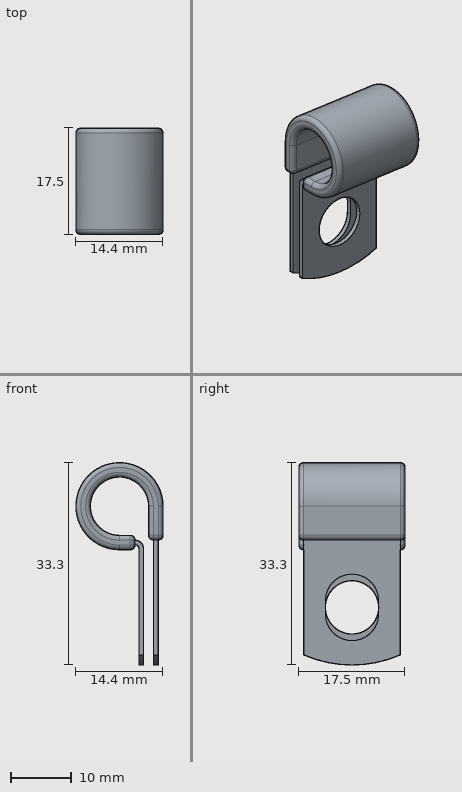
import cadquery as cq
import math

strap_thickness = 0.8
cushion_thickness = 0.8
edge_radius = 0.8
outer_diameter = 14.35
sleeve_width = 17.47
overall_height = 33.28

outer_radius = outer_diameter / 2
sleeve_thickness = strap_thickness + 2 * cushion_thickness
inner_radius = outer_radius - sleeve_thickness
strap_outer_radius = outer_radius - cushion_thickness
strap_inner_radius = strap_outer_radius - strap_thickness
strap_width = sleeve_width - 2 * cushion_thickness
leg_bottom = outer_radius - overall_height

side_length = 5.55
lower_length = 2.55

leg_gap = 1.6
bent_leg_outer = strap_inner_radius - leg_gap
bent_leg_inner = bent_leg_outer - strap_thickness
bend_outer_radius = 1.4
bend_inner_radius = bend_outer_radius - strap_thickness
bend_start = bent_leg_outer - bend_outer_radius
bend_centre_z = -strap_inner_radius - bend_outer_radius

tip_sag = 1.65
hole_diameter = 8.72
hole_height = 9.5
slot_centre_distance = 2.2


def make_sleeve():
    """Three-quarter loop with a downward side arm and a lower arm, all outer edges rounded."""
    outer_mid = outer_radius * math.sqrt(0.5)
    inner_mid = inner_radius * math.sqrt(0.5)
    sleeve = (
        cq.Workplane("XZ")
        .moveTo(outer_radius, -side_length)
        .lineTo(outer_radius, 0)
        .threePointArc((-outer_mid, outer_mid), (0, -outer_radius))
        .lineTo(lower_length, -outer_radius)
        .lineTo(lower_length, -inner_radius)
        .lineTo(0, -inner_radius)
        .threePointArc((-inner_mid, inner_mid), (inner_radius, 0))
        .lineTo(inner_radius, -side_length)
        .close()
        .extrude(sleeve_width / 2, both=True)
    )
    rims = sleeve.faces("<Y or >Y").edges().vals()
    end_centres = [
        (outer_radius, 0, -side_length),
        (inner_radius, 0, -side_length),
        (lower_length, 0, -outer_radius),
        (lower_length, 0, -inner_radius),
    ]
    end_edges = [
        sleeve.edges(cq.selectors.NearestToPointSelector(centre)).val()
        for centre in end_centres
    ]
    return sleeve.newObject(rims + end_edges).fillet(edge_radius)


def make_bent_leg():
    """Quarter bend off the lower arm, continuing as a straight leg."""
    diagonal = math.sqrt(0.5)
    return (
        cq.Workplane("XZ")
        .moveTo(0, -strap_inner_radius)
        .lineTo(bend_start, -strap_inner_radius)
        .threePointArc(
            (bend_start + bend_outer_radius * diagonal, bend_centre_z + bend_outer_radius * diagonal),
            (bent_leg_outer, bend_centre_z),
        )
        .lineTo(bent_leg_outer, leg_bottom)
        .lineTo(bent_leg_inner, leg_bottom)
        .lineTo(bent_leg_inner, bend_centre_z)
        .threePointArc(
            (bend_start + bend_inner_radius * diagonal, bend_centre_z + bend_inner_radius * diagonal),
            (bend_start, -strap_outer_radius),
        )
        .lineTo(0, -strap_outer_radius)
        .close()
        .extrude(strap_width / 2, both=True)
    )


def make_straight_leg():
    """Flat leg running down from the side arm of the loop."""
    return (
        cq.Workplane("XZ")
        .moveTo(strap_inner_radius, 0)
        .lineTo(strap_outer_radius, 0)
        .lineTo(strap_outer_radius, leg_bottom)
        .lineTo(strap_inner_radius, leg_bottom)
        .close()
        .extrude(strap_width / 2, both=True)
    )


def make_leg_envelope():
    """Leg outline with a curved tip, extruded across both legs."""
    half_width = strap_width / 2
    corner_z = leg_bottom + tip_sag
    return (
        cq.Workplane("YZ")
        .moveTo(-half_width, 0)
        .lineTo(-half_width, corner_z)
        .threePointArc((0, leg_bottom), (half_width, corner_z))
        .lineTo(half_width, 0)
        .close()
        .extrude(outer_radius)
    )


def make_round_hole():
    """Cutter for the hole in the bent leg."""
    return (
        cq.Workplane("YZ", origin=(bent_leg_inner, 0, leg_bottom + hole_height))
        .circle(hole_diameter / 2)
        .extrude(strap_thickness)
    )


def make_slot():
    """Cutter for the slot in the straight leg, centred on the round hole."""
    return (
        cq.Workplane("YZ", origin=(strap_inner_radius, 0, leg_bottom + hole_height))
        .slot2D(slot_centre_distance + hole_diameter, hole_diameter, 90)
        .extrude(strap_thickness)
    )


legs = make_bent_leg().union(make_straight_leg()).intersect(make_leg_envelope())
legs = legs.cut(make_round_hole()).cut(make_slot())
result = make_sleeve().union(legs)